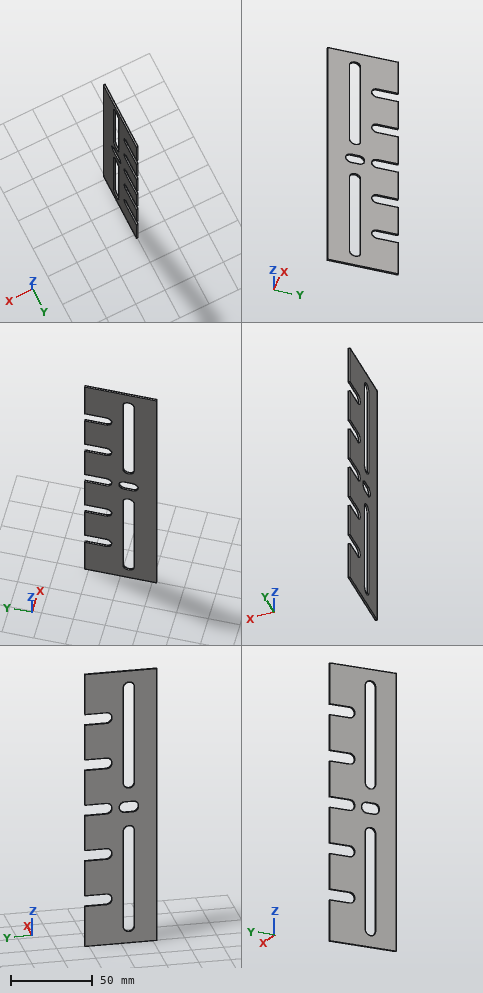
import cadquery as cq

length = 180.0
width = length / 4
thickness = 1.2

slot_width = 7.0

notch_count = 5
notch_pitch = length / (notch_count + 1)
notch_depth = 17.0

slot_line_setback = 27.5
slot_line_y = width / 2 - slot_line_setback
long_slot_length = 70.0
long_slot_offset = 47.5
short_slot_length = 12.0


def slot_cutter(y, z, overall_length, angle):
    """Round-ended slot through the plate; angle 0 runs along Y, 90 along Z."""
    return (
        cq.Workplane("YZ")
        .center(y, z)
        .slot2D(overall_length, slot_width, angle)
        .extrude(thickness, both=True)
    )


plate = cq.Workplane("XY").box(thickness, width, length)

for index in range(notch_count):
    notch_z = (index - (notch_count - 1) / 2) * notch_pitch
    plate = plate.cut(slot_cutter(width / 2, notch_z, 2 * notch_depth, 0))

for side in (-1, 1):
    plate = plate.cut(slot_cutter(slot_line_y, side * long_slot_offset, long_slot_length, 90))

plate = plate.cut(slot_cutter(slot_line_y, 0, short_slot_length, 0))

result = plate